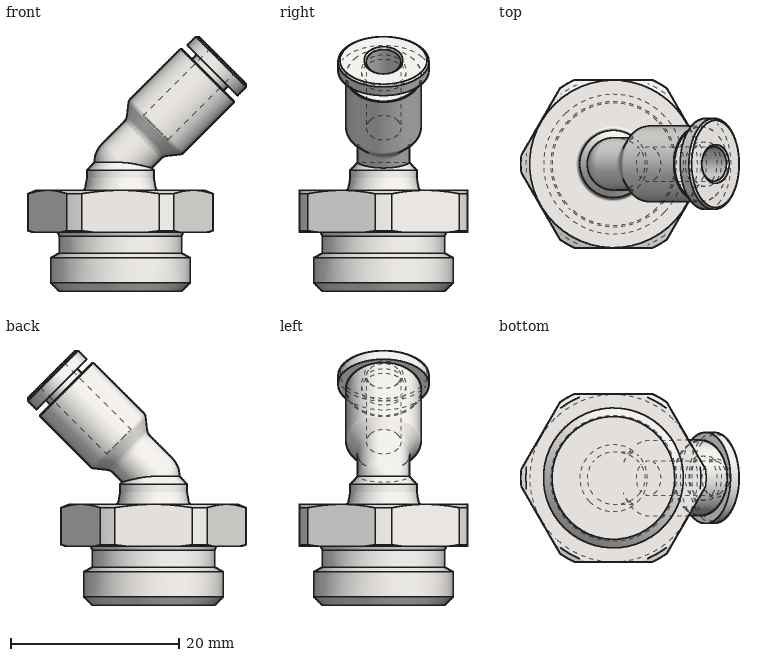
import cadquery as cq
import math

hex_flats = 20.0
hex_turn = 30
hex_corner_radius = 11.0
hex_bottom = 7.0
hex_top = 12.0
hex_top_chamfer_radius = 9.95
hex_top_chamfer_height = 0.42
hex_bottom_chamfer_radius = 10.4
hex_bottom_chamfer_height = 0.2

spigot_radius = 8.32
spigot_chamfer = 1.03
spigot_shoulder = 3.95
groove_radius = 7.3
groove_bottom = 4.55
groove_top = 6.55
groove_flare_radius = 7.47

neck_foot_fillet = 0.27
neck_skirt_radius = 4.2
neck_radius = 4.0
neck_cylinder_bottom = 13.47
neck_cylinder_top = 14.37
elbow_height = 15.3

arm_tilt = 45
tube_radius = 3.12
cone_start = 4.12
cone_end = 5.87
barrel_radius = 4.5
barrel_end = 14.7
barrel_chamfer = 0.1
cone_root_fillet = 1.0
cone_rim_fillet = 0.7

stem_radius = 2.65
button_start = 15.45
button_end = 17.15
button_half_height = 4.25
button_half_width = 5.42
button_chamfer = 0.25
bore_radius = 2.05
bore_chamfer = 0.25
bore_bottom = cone_end


def revolve_profile(points):
    """Turn an outline of (radius, height) points, closed along the Z axis."""
    return cq.Workplane("XZ").polyline(points).close().revolve(360, (0, 0), (0, 1))


def make_hexagon():
    """Hexagon with two flats square to Y, its corners turned and chamfered."""
    prism = (
        cq.Workplane("XY", origin=(0, 0, hex_bottom))
        .polygon(6, hex_flats, circumscribed=True)
        .extrude(hex_top - hex_bottom)
        .rotate((0, 0, 0), (0, 0, 1), hex_turn)
    )
    turned = revolve_profile([
        (0, hex_bottom),
        (hex_bottom_chamfer_radius, hex_bottom),
        (hex_corner_radius, hex_bottom + hex_bottom_chamfer_height),
        (hex_corner_radius, hex_top - hex_top_chamfer_height),
        (hex_top_chamfer_radius, hex_top),
        (0, hex_top),
    ])
    return prism.intersect(turned)


def make_spigot():
    return revolve_profile([
        (0, 0),
        (spigot_radius - spigot_chamfer, 0),
        (spigot_radius, spigot_chamfer),
        (spigot_radius, spigot_shoulder),
        (groove_radius, groove_bottom),
        (groove_radius, groove_top),
        (groove_flare_radius, hex_bottom),
        (0, hex_bottom),
    ])


def make_neck():
    """Tapered neck with a rounded foot blending into the hexagon top."""
    skirt_bottom = hex_top + neck_foot_fillet
    foot_radius = neck_skirt_radius + neck_foot_fillet
    arc_offset = neck_foot_fillet * (1 - math.sqrt(0.5))
    profile = (
        cq.Workplane("XZ")
        .moveTo(0, hex_top)
        .lineTo(foot_radius, hex_top)
        .threePointArc(
            (neck_skirt_radius + arc_offset, hex_top + arc_offset),
            (neck_skirt_radius, skirt_bottom),
        )
        .lineTo(neck_radius, neck_cylinder_bottom)
        .lineTo(neck_radius, neck_cylinder_top)
        .lineTo(tube_radius, elbow_height)
        .lineTo(0, elbow_height)
        .close()
    )
    return profile.revolve(360, (0, 0), (0, 1))


def fillet_circle(body, height, radius):
    """Round the circular edge of an upright turned body at the given height."""
    edge_at_height = cq.selectors.NearestToPointSelector((0, 0, height))
    return body.edges(edge_at_height).fillet(radius)


def make_arm():
    """Tube, barrel and release button, built upright from the elbow centre."""
    ball = cq.Workplane("XY").sphere(tube_radius)
    body = revolve_profile([
        (0, 0),
        (tube_radius, 0),
        (tube_radius, cone_start),
        (barrel_radius, cone_end),
        (barrel_radius, barrel_end - barrel_chamfer),
        (barrel_radius - barrel_chamfer, barrel_end),
        (0, barrel_end),
    ])
    body = fillet_circle(body, cone_start, cone_root_fillet)
    body = fillet_circle(body, cone_end, cone_rim_fillet)

    stem = (
        cq.Workplane("XY", origin=(0, 0, barrel_end))
        .circle(stem_radius)
        .extrude(button_start - barrel_end)
    )
    button = (
        cq.Workplane("XY", origin=(0, 0, button_start))
        .ellipse(button_half_height, button_half_width)
        .extrude(button_end - button_start)
        .faces(">Z")
        .chamfer(button_chamfer)
    )
    bore = revolve_profile([
        (0, bore_bottom),
        (bore_radius, bore_bottom),
        (bore_radius, button_end - bore_chamfer),
        (bore_radius + bore_chamfer, button_end),
        (0, button_end),
    ])
    arm = ball.union(body).union(stem).union(button).cut(bore)
    return arm.rotate((0, 0, 0), (0, 1, 0), arm_tilt).translate((0, 0, elbow_height))


result = make_spigot().union(make_hexagon()).union(make_neck()).union(make_arm())